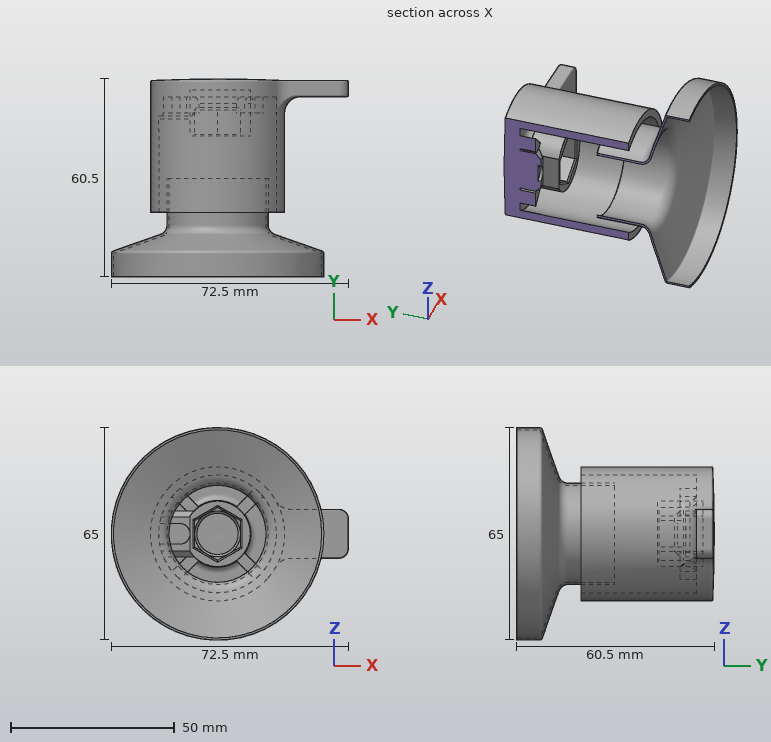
import cadquery as cq
import math


wall = 0.7
rim_radius = 32.5
rim_length = 7.0
rim_round = 1.0
neck_radius = 15.5
neck_blend = 3.0
neck_blend_start = 15.8
neck_end = 30.0
cone_angle = math.radians(19)

knob_radius = 20.5
knob_front = 19.7
knob_back = 60.0
crown_height = 0.45
edge_round = 0.5
cavity_radius = 18.0
floor_y = 55.0

insert_radius = 10.0
insert_front = 43.0
insert_seat_y = 57.0
insert_flat_x = -8.4
hex_across_flats = 14.0
hex_mouth_across_flats = 15.0
hex_chamfer = 0.5
hex_depth = 8.0
step_radius = 7.0
step_floor_radius = 6.3
step_depth = 0.7
dish_radius = 2.3
dish_depth = 0.1

collar_wall = 0.2
collar_radius = insert_radius + collar_wall
collar_blend = 2.0
rib_width = 3.5
rib_count = 4
first_rib_angle = 45
rib_front = 50.0
block_half_width = 5.2
block_foot_half_width = 7.0
block_front = rib_front - (block_foot_half_width - block_half_width)
slot_radius = 3.15
slot_depth = 1.0

lever_tip_x = 40.0
lever_half_width = 7.5
lever_thickness = 5.0
lever_corner = 3.0
lever_blend = 5.0


def y_cylinder(radius, y_start, y_end):
    """Solid cylinder on the Y axis between two Y positions."""
    return cq.Workplane("XZ", origin=(0, y_start, 0)).circle(radius).extrude(y_start - y_end)


def corner_diameter(across_flats):
    """Diameter through the corners of a hexagon."""
    return across_flats / math.cos(math.pi / 6)


def hexagon_sketch(across_flats, y):
    """Hexagon around the Y axis with two corners pointing along Z."""
    plane = cq.Plane(origin=(0, y, 0), xDir=(0, 0, 1), normal=(0, -1, 0))
    return cq.Workplane(plane).polygon(6, corner_diameter(across_flats))


def y_hexagon(across_flats, y_start, y_end):
    return hexagon_sketch(across_flats, y_start).extrude(y_start - y_end)


def y_revolve(profile):
    """Revolve a closed profile of (radius, y) about the Y axis."""
    return profile.close().revolve(360, (0, 0, 0), (0, 1, 0))


def quarter_arc_inset(radius):
    """Distance from the middle of a quarter-circle fillet to each of the two faces it joins."""
    return radius * (1 - math.sqrt(0.5))


def y_dome(radius, y, height):
    """Shallow spherical cap on the Y axis, bulging towards +Y."""
    sphere_radius = (radius**2 + height**2) / (2 * height)
    half_angle = math.asin(radius / sphere_radius) / 2
    mid_y = y + height - sphere_radius * (1 - math.cos(half_angle))
    profile = (
        cq.Workplane("XY")
        .moveTo(0, y)
        .lineTo(radius, y)
        .threePointArc((sphere_radius * math.sin(half_angle), mid_y), (0, y + height))
    )
    return y_revolve(profile)


def rosette_arcs(offset):
    """Start, middle and end of the rim and neck arcs, for a skin this far inside the outer one."""
    neck_centre = (neck_radius + neck_blend, neck_blend_start)
    neck_r = neck_blend + offset
    rim_centre = (rim_radius - rim_round, rim_length)
    rim_r = rim_round - offset

    def on_arc(centre, radius, angle):
        return (centre[0] + radius * math.cos(angle), centre[1] + radius * math.sin(angle))

    cone_normal = math.pi / 2 - cone_angle
    rim_arc = [on_arc(rim_centre, rim_r, a) for a in (0, cone_normal / 2, cone_normal)]
    neck_sweep = [math.pi + cone_normal, math.pi + cone_normal / 2, math.pi]
    neck_arc = [on_arc(neck_centre, neck_r, a) for a in neck_sweep]
    return rim_arc, neck_arc


def make_rosette():
    rim_out, neck_out = rosette_arcs(0)
    rim_in, neck_in = rosette_arcs(wall)
    profile = (
        cq.Workplane("XY")
        .moveTo(rim_radius, 0)
        .lineTo(*rim_out[0])
        .threePointArc(rim_out[1], rim_out[2])
        .lineTo(*neck_out[0])
        .threePointArc(neck_out[1], neck_out[2])
        .lineTo(neck_radius, neck_end)
        .lineTo(neck_radius - wall, neck_end)
        .lineTo(*neck_in[2])
        .threePointArc(neck_in[1], neck_in[0])
        .lineTo(*rim_in[2])
        .threePointArc(rim_in[1], rim_in[0])
        .lineTo(rim_radius - wall, 0)
    )
    return y_revolve(profile)


def insert_blank():
    """Round insert body with one flat, before its socket is cut."""
    blank = y_cylinder(insert_radius, insert_front, insert_seat_y)
    size = 2 * insert_radius
    length = insert_seat_y - insert_front
    kept = cq.Workplane("XY").box(size, length, size, centered=(False, False, True))
    return blank.intersect(kept.translate((insert_flat_x, insert_front, 0)))


def make_insert():
    body = insert_blank()
    socket_floor = insert_front + hex_depth
    body = body.cut(y_hexagon(hex_across_flats, insert_front, socket_floor))
    mouth = (
        hexagon_sketch(hex_mouth_across_flats, insert_front)
        .workplane(offset=-hex_chamfer)
        .polygon(6, corner_diameter(hex_across_flats))
        .loft(ruled=True)
    )
    body = body.cut(mouth)

    step_floor = socket_floor + step_depth
    step = (
        cq.Workplane("XY")
        .moveTo(0, socket_floor)
        .lineTo(step_radius, socket_floor)
        .lineTo(step_floor_radius, step_floor)
        .lineTo(0, step_floor)
    )
    body = body.cut(y_revolve(step))
    return body.cut(y_dome(dish_radius, step_floor, dish_depth))


def make_lever():
    """Flat lever, blended into the knob wall on its sides and underside."""
    side_centre_z = lever_half_width + lever_blend
    side_centre_x = math.sqrt((knob_radius + lever_blend) ** 2 - side_centre_z**2)
    touch = knob_radius / (knob_radius + lever_blend)
    touch_x = side_centre_x * touch
    touch_z = side_centre_z * touch
    front_y = knob_back - lever_thickness
    foot_y = front_y - lever_blend

    touch_angle = math.atan2(-side_centre_z, -side_centre_x)
    side_angle = -math.pi / 2
    mid_angle = (touch_angle + side_angle) / 2
    mid_x = side_centre_x + lever_blend * math.cos(mid_angle)
    mid_z = side_centre_z + lever_blend * math.sin(mid_angle)

    plan = (
        cq.Workplane("XZ", origin=(0, knob_back, 0))
        .moveTo(0, -touch_z)
        .lineTo(touch_x, -touch_z)
        .threePointArc((mid_x, -mid_z), (side_centre_x, -lever_half_width))
        .lineTo(lever_tip_x, -lever_half_width)
        .lineTo(lever_tip_x, lever_half_width)
        .lineTo(side_centre_x, lever_half_width)
        .threePointArc((mid_x, mid_z), (touch_x, touch_z))
        .lineTo(0, touch_z)
        .close()
        .extrude(knob_back - foot_y)
        .edges("|Y and >X")
        .fillet(lever_corner)
    )
    inset = quarter_arc_inset(lever_blend)
    reach = 2 * lever_tip_x
    underside = (
        cq.Workplane("XY")
        .moveTo(0, foot_y)
        .lineTo(knob_radius, foot_y)
        .threePointArc((knob_radius + inset, front_y - inset), (knob_radius + lever_blend, front_y))
        .lineTo(reach, front_y)
        .lineTo(reach, knob_back)
        .lineTo(0, knob_back)
    )
    lever = plan.intersect(y_revolve(underside))
    front_tip_edge = lever.edges("|Z").edges(">X").edges("<Y")
    return front_tip_edge.fillet(edge_round)


def make_cup():
    """Knob shell with its lever: rounded and crowned back, open cavity at the front."""
    cup = y_cylinder(knob_radius, knob_front, knob_back).union(make_lever())
    cup = cup.faces(">Y").edges().fillet(edge_round)
    cup = cup.union(y_dome(knob_radius - edge_round, knob_back, crown_height))
    return cup.cut(y_cylinder(cavity_radius, knob_front, floor_y))


def make_collar():
    """Thin collar around the insert, blended into the cavity floor."""
    foot_radius = collar_radius + collar_blend
    inset = quarter_arc_inset(collar_blend)
    collar_front = floor_y - collar_blend
    profile = (
        cq.Workplane("XY")
        .moveTo(0, collar_front)
        .lineTo(collar_radius, collar_front)
        .threePointArc((collar_radius + inset, floor_y - inset), (foot_radius, floor_y))
        .lineTo(0, floor_y)
    )
    return y_revolve(profile)


def make_rib(angle):
    """Radial rib on the cavity floor; its outer end is trimmed to the cavity wall later."""
    rib_length = knob_radius
    rib_height = floor_y - rib_front
    rib = cq.Workplane("XY").box(rib_length, rib_height, rib_width, centered=(False, False, True))
    return rib.translate((0, rib_front, 0)).rotate((0, 0, 0), (0, 1, 0), angle)


def make_block():
    """Block with sloped flanks that runs from the insert flat to the cavity wall."""
    end_x = -cavity_radius
    block = (
        cq.Workplane("YZ", origin=(end_x, 0, 0))
        .moveTo(floor_y, -block_foot_half_width)
        .lineTo(rib_front, -block_foot_half_width)
        .lineTo(block_front, -block_half_width)
        .lineTo(block_front, block_half_width)
        .lineTo(rib_front, block_foot_half_width)
        .lineTo(floor_y, block_foot_half_width)
        .close()
        .extrude(cavity_radius)
    )
    slot_centre_x = insert_flat_x - slot_radius
    slot = y_cylinder(slot_radius, block_front, block_front + slot_depth).translate((slot_centre_x, 0, 0))
    slot_run = cq.Workplane("XY").box(
        slot_centre_x - end_x, slot_depth, 2 * slot_radius, centered=(False, False, True)
    )
    return block.cut(slot).cut(slot_run.translate((end_x, block_front, 0)))


def make_knob():
    inside = make_collar().union(make_block())
    for index in range(rib_count):
        inside = inside.union(make_rib(first_rib_angle + 360 / rib_count * index))
    inside = inside.intersect(y_cylinder(cavity_radius, knob_front, floor_y))
    return make_cup().union(inside).cut(insert_blank())


rosette = make_rosette()
knob = make_knob()
insert = make_insert()
result = cq.Compound.makeCompound([rosette.val(), knob.solids().val(), insert.solids().val()])